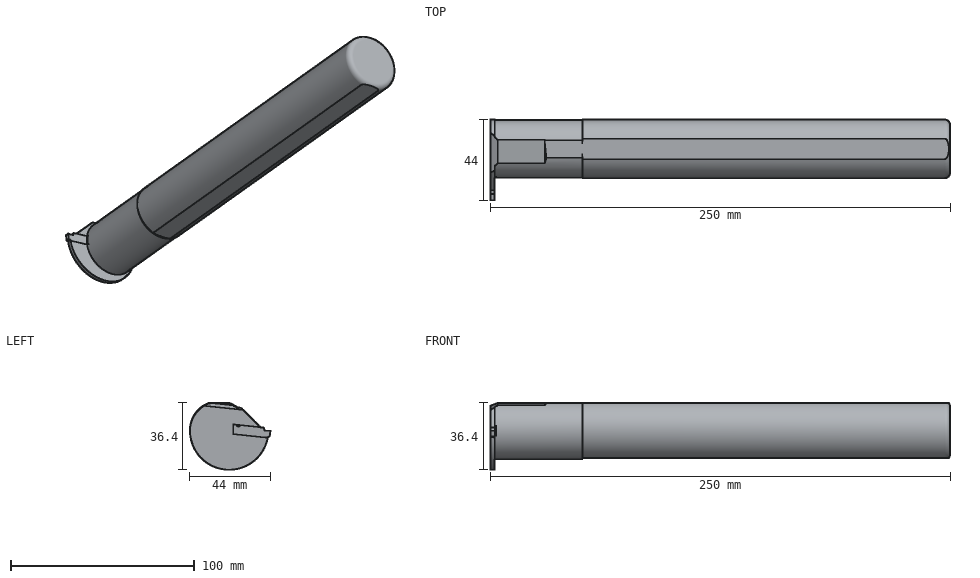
import cadquery as cq
import math

overall_length = 250.0
shank_diameter = 32.0
shank_radius = shank_diameter / 2
flat_height = 15.0
shank_end_fillet = 3.0
neck_length = 50.0
neck_radius = 15.75
shank_taper_length = 0.7

disc_thickness = 2.3
disc_radius = 21.42
disc_center_y = shank_radius - disc_radius

chip_edge_top = (-13.0, 11.2)
chip_edge_bottom = (-22.8, 1.5)
chip_edge_extension = 5.0

rake_angle = 6.0
rake_slope = math.tan(math.radians(rake_angle))
relief_edge_y = 5.0
relief_end_x = 29.5
nose_length = 4.0
nose_drop = 1.9

insert_height = 5.3
insert_inner_y = -7.7
insert_thickness_in_neck = 3.2
tip_y = -28.0
tip_z = 0.0
rake_line_offset = 1.2
tip_land_end_y = -24.8
tip_step_end_y = -24.3
clearance_run = 0.5
clearance_height = 3.2
heel_y = -25.8
notch_y = -10.5
notch_radius = 0.9

clear = 100.0


def round_bar(radius, start_x, end_x):
    return cq.Workplane("YZ").workplane(offset=start_x).circle(radius).extrude(end_x - start_x)


def block(start_x, length, center_y, center_z):
    """Large cutting block along X, centred on the given Y and Z."""
    return (
        cq.Workplane("YZ")
        .workplane(offset=start_x)
        .center(center_y, center_z)
        .rect(clear, clear)
        .extrude(length)
    )


def make_shank():
    shank = round_bar(shank_radius, neck_length, overall_length)
    shank = shank.faces(">X").edges().fillet(shank_end_fillet)
    shank = shank.faces("<X").edges().chamfer(shank_radius - neck_radius, shank_taper_length)
    lower_flat = block(neck_length, overall_length, 0, -flat_height - clear / 2)
    return shank.cut(lower_flat)


def make_head_disc():
    disc = cq.Workplane("YZ").center(disc_center_y, 0).circle(disc_radius).extrude(disc_thickness)

    corner = block(0, disc_thickness, clear / 2, clear / 2)
    corner = corner.cut(round_bar(shank_radius, 0, disc_thickness))

    reach_y = chip_edge_extension * (chip_edge_top[0] - chip_edge_bottom[0])
    reach_z = chip_edge_extension * (chip_edge_top[1] - chip_edge_bottom[1])
    upper_end = (chip_edge_top[0] + reach_y, chip_edge_top[1] + reach_z)
    lower_end = (chip_edge_bottom[0] - reach_y, chip_edge_bottom[1] - reach_z)
    outer_corner = (lower_end[0], upper_end[1])
    chip_room = (
        cq.Workplane("YZ")
        .polyline([lower_end, upper_end, outer_corner])
        .close()
        .extrude(disc_thickness)
    )
    return disc.cut(corner).cut(chip_room)


def make_relief_cutter():
    """Nose slope, relief floor and 45 degree end wall, tilted about X by the rake angle."""
    wall_rise = shank_radius
    profile = [
        (-nose_length, -2 * nose_drop),
        (nose_length, 0),
        (relief_end_x, 0),
        (relief_end_x + wall_rise, wall_rise),
        (-nose_length, wall_rise),
    ]
    cutter = cq.Workplane("XZ").polyline(profile).close().extrude(clear / 2, both=True)
    cutter = cutter.rotate((0, 0, 0), (1, 0, 0), rake_angle)
    return cutter.translate((0, relief_edge_y, flat_height))


def insert_top_z(y):
    """Height of the sloping top line of the insert."""
    return tip_z + rake_line_offset + (y - tip_y) * rake_slope


def insert_outline(thickness):
    points = [
        (tip_y, tip_z),
        (tip_land_end_y, tip_z),
        (tip_step_end_y, insert_top_z(tip_step_end_y)),
        (insert_inner_y, insert_top_z(insert_inner_y)),
        (insert_inner_y, insert_top_z(insert_inner_y) - insert_height),
        (heel_y, insert_top_z(heel_y) - insert_height),
        (tip_y + clearance_run, tip_z - clearance_height),
    ]
    return cq.Workplane("YZ").polyline(points).close().extrude(thickness)


def make_insert_blank():
    """Blade as thick as the disc, thicker where it is let into the neck."""
    blade = insert_outline(disc_thickness)
    neck_part = insert_outline(insert_thickness_in_neck)
    neck_part = neck_part.intersect(round_bar(neck_radius, 0, neck_length))
    return blade.union(neck_part)


def make_insert(blank):
    notch = (
        cq.Workplane("YZ")
        .center(notch_y, insert_top_z(notch_y))
        .circle(notch_radius)
        .extrude(insert_thickness_in_neck)
    )
    return blank.cut(notch)


def make_holder(insert_blank):
    neck = round_bar(neck_radius, 0, neck_length)
    upper_flat = block(0, overall_length, 0, flat_height + clear / 2)
    holder = neck.union(make_shank()).union(make_head_disc())
    return holder.cut(upper_flat).cut(make_relief_cutter()).cut(insert_blank)


insert_blank = make_insert_blank()
insert = make_insert(insert_blank)
holder = make_holder(insert_blank)

result = cq.Compound.makeCompound([holder.val(), insert.val()])